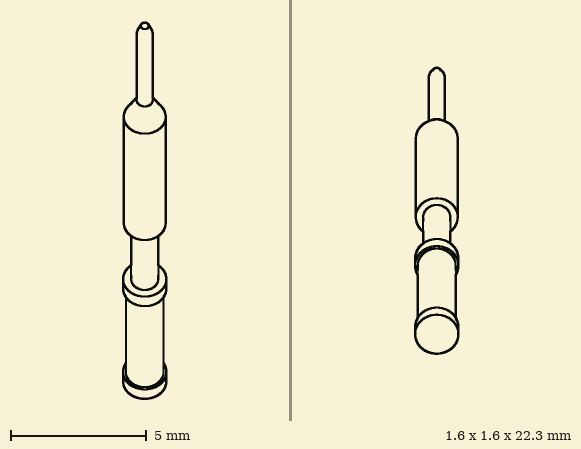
import cadquery as cq


collar_diameter = 1.6
barrel_diameter = 1.4
neck_diameter = 1.0
body_diameter = 1.55
plunger_diameter = 0.6
tip_base_diameter = 0.54
tip_end_diameter = 0.3

collar_length = 0.6
barrel_length = 5.2
neck_length = 3.5
body_length = 6.65
shoulder_length = 1.05
chamfer_length = 0.15
tip_length = 0.35
dome_height = 0.07
overall_length = 22.3

barrel_bottom = collar_length
barrel_top = barrel_bottom + barrel_length
neck_bottom = barrel_top + collar_length
body_bottom = neck_bottom + neck_length
shoulder_bottom = body_bottom + body_length
plunger_bottom = shoulder_bottom + shoulder_length

dome_bottom = overall_length - dome_height
tip_bottom = dome_bottom - tip_length
plunger_top = tip_bottom - chamfer_length

tip_end_radius = tip_end_diameter / 2
dome_radius = (tip_end_radius**2 + dome_height**2) / (2 * dome_height)
dome_mid_radius = tip_end_radius / 2
dome_mid_height = overall_length - dome_radius + (dome_radius**2 - dome_mid_radius**2) ** 0.5


def turned_pin():
    """Solid of revolution; each profile corner is (radius, height)."""
    profile = (
        cq.Workplane("XZ")
        .lineTo(collar_diameter / 2, 0)
        .lineTo(collar_diameter / 2, barrel_bottom)
        .lineTo(barrel_diameter / 2, barrel_bottom)
        .lineTo(barrel_diameter / 2, barrel_top)
        .lineTo(collar_diameter / 2, barrel_top)
        .lineTo(collar_diameter / 2, neck_bottom)
        .lineTo(neck_diameter / 2, neck_bottom)
        .lineTo(neck_diameter / 2, body_bottom)
        .lineTo(body_diameter / 2, body_bottom)
        .lineTo(body_diameter / 2, shoulder_bottom)
        .lineTo(plunger_diameter / 2, plunger_bottom)
        .lineTo(plunger_diameter / 2, plunger_top)
        .lineTo(tip_base_diameter / 2, tip_bottom)
        .lineTo(tip_end_radius, dome_bottom)
        .threePointArc((dome_mid_radius, dome_mid_height), (0, overall_length))
        .close()
    )
    return profile.revolve(360, (0, 0, 0), (0, 1, 0))


result = turned_pin()